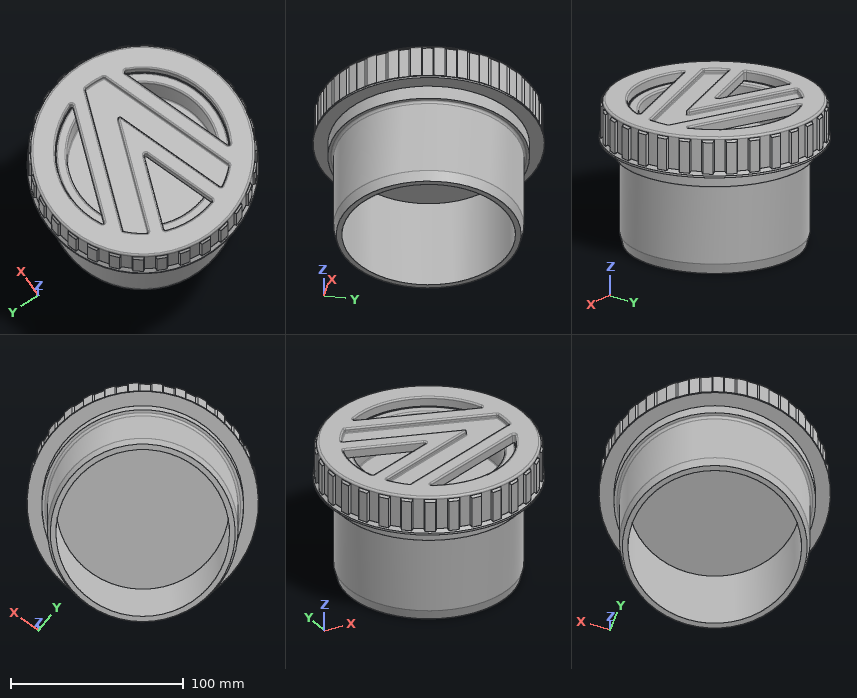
import cadquery as cq
TOTAL_HEIGHT = 88.0
CAP_HEIGHT = 24.1
LID_THICKNESS = 6.0
CAP_BOTTOM = TOTAL_HEIGHT - CAP_HEIGHT
LID_BOTTOM = TOTAL_HEIGHT - LID_THICKNESS

COLLAR_RADIUS = 116.7 / 2
TUBE_RADIUS = 110.3 / 2
TUBE_END_RADIUS = 106.9 / 2
COLLAR_BOTTOM = 55.3
COLLAR_FILLET = 1.5
TUBE_TAPER_HEIGHT = 6.4

CUP_RADIUS = 100.4 / 2
CUP_INNER_RADIUS = 88.0 / 2
CUP_DEPTH = 21.8
CUP_FLOOR_THICKNESS = 2.7
CUP_OUTER_RIM_FILLET = 0.8
CUP_INNER_RIM_FILLET = 1.1
CUP_FLOOR_FILLET = 0.4

CAP_RADIUS = 130.0 / 2
CAP_TOP_FILLET = 1.3
FLANGE_RADIUS = 134.0 / 2
FLANGE_HEIGHT = 1.2
FLARE_HEIGHT = 1.9
RIB_COUNT = 30
RIB_RADIUS = 66.2
RIB_TOP_DROP = 1.6
RIB_ROOT_WIDTH = 7.2
RIB_CREST_WIDTH = 5.9

PATTERN_RADIUS = 101.5 / 2
V_HALF_ANGLE = 19.6
BAND_WIDTH = 9.1
V_ARM_WIDTH = 14.1
V_DEPTH = 3.0
CORNER_RADIUS = 1.1
OPENING_TOP_FILLET = 1.0
V_FLOOR_FILLET = 0.4

V_INNER_OFFSET = BAND_WIDTH
V_OUTER_OFFSET = V_INNER_OFFSET + V_ARM_WIDTH
WINDOW_OFFSET = V_OUTER_OFFSET + BAND_WIDTH


def make_housing():
    outline = (
        cq.Workplane("XZ")
        .moveTo(CUP_RADIUS, 0)
        .lineTo(TUBE_END_RADIUS, 0)
        .lineTo(TUBE_RADIUS, TUBE_TAPER_HEIGHT)
        .lineTo(TUBE_RADIUS, COLLAR_BOTTOM - COLLAR_FILLET)
        .radiusArc((TUBE_RADIUS + COLLAR_FILLET, COLLAR_BOTTOM), COLLAR_FILLET)
        .lineTo(COLLAR_RADIUS, COLLAR_BOTTOM)
        .lineTo(COLLAR_RADIUS, LID_BOTTOM)
        .lineTo(CUP_RADIUS, LID_BOTTOM)
        .close()
    )
    return outline.revolve(360, (0, 0, 0), (0, 1, 0))


def make_cup():
    height = CUP_DEPTH + CUP_FLOOR_THICKNESS
    blank = (
        cq.Workplane("XY", origin=(0, 0, LID_BOTTOM - height))
        .circle(CUP_RADIUS)
        .extrude(height)
        .faces(">Z")
        .edges()
        .fillet(CUP_OUTER_RIM_FILLET)
    )
    dish = (
        cq.Workplane("XY", origin=(0, 0, LID_BOTTOM - CUP_DEPTH))
        .circle(CUP_INNER_RADIUS)
        .extrude(CUP_DEPTH)
        .faces("<Z")
        .edges()
        .fillet(CUP_FLOOR_FILLET)
    )
    rim_edge = cq.selectors.RadiusNthSelector(0)
    return blank.cut(dish).faces(">Z").edges(rim_edge).fillet(CUP_INNER_RIM_FILLET)


def make_cap_shell():
    flange_top = CAP_BOTTOM + FLANGE_HEIGHT
    outline = (
        cq.Workplane("XZ")
        .moveTo(0, LID_BOTTOM)
        .lineTo(COLLAR_RADIUS, LID_BOTTOM)
        .lineTo(COLLAR_RADIUS, CAP_BOTTOM)
        .lineTo(FLANGE_RADIUS, CAP_BOTTOM)
        .lineTo(FLANGE_RADIUS, flange_top)
        .lineTo(CAP_RADIUS, flange_top + FLARE_HEIGHT)
        .lineTo(CAP_RADIUS, TOTAL_HEIGHT)
        .lineTo(0, TOTAL_HEIGHT)
        .close()
    )
    shell = outline.revolve(360, (0, 0, 0), (0, 1, 0))
    return shell.faces(">Z").edges().fillet(CAP_TOP_FILLET)


def make_ribs():
    """Ring with a 45-degree top bevel, kept only where the tapered ribs stand."""
    rib_height = RIB_RADIUS - CAP_RADIUS
    rib_top = TOTAL_HEIGHT - RIB_TOP_DROP
    root_radius = CAP_RADIUS - rib_height
    ring = (
        cq.Workplane("XZ")
        .moveTo(root_radius, CAP_BOTTOM + FLANGE_HEIGHT)
        .lineTo(RIB_RADIUS, CAP_BOTTOM + FLANGE_HEIGHT)
        .lineTo(RIB_RADIUS, rib_top - rib_height)
        .lineTo(CAP_RADIUS, rib_top)
        .lineTo(root_radius, rib_top)
        .close()
        .revolve(360, (0, 0, 0), (0, 1, 0))
    )
    side_step = (RIB_ROOT_WIDTH - RIB_CREST_WIDTH) / 2
    prism = (
        cq.Workplane("XY", origin=(0, 0, CAP_BOTTOM))
        .polyline([
            (root_radius, -RIB_ROOT_WIDTH / 2 - side_step),
            (root_radius, RIB_ROOT_WIDTH / 2 + side_step),
            (RIB_RADIUS + rib_height, RIB_CREST_WIDTH / 2 - side_step),
            (RIB_RADIUS + rib_height, -RIB_CREST_WIDTH / 2 + side_step),
        ])
        .close()
        .extrude(CAP_HEIGHT)
    )
    rib = ring.intersect(prism)
    pitch = 360 / RIB_COUNT
    return [rib.rotate((0, 0, 0), (0, 0, 1), i * pitch) for i in range(RIB_COUNT)]


def sloped_half_plane(offset, side):
    """Region beyond a line sloping towards +X at the V angle; side is +1 (+Y) or -1 (-Y)."""
    size = 4 * PATTERN_RADIUS
    return (
        cq.Workplane("XY", origin=(0, 0, LID_BOTTOM))
        .center(0, side * (size / 2 + offset))
        .rect(size, size)
        .extrude(LID_THICKNESS)
        .rotate((0, 0, 0), (0, 0, 1), -side * V_HALF_ANGLE)
    )


def pattern_disc(bottom):
    return cq.Workplane("XY", origin=(0, 0, bottom)).circle(PATTERN_RADIUS).extrude(TOTAL_HEIGHT - bottom)


def make_windows():
    disc = pattern_disc(LID_BOTTOM)
    side_windows = [disc.intersect(sloped_half_plane(WINDOW_OFFSET, side)) for side in (1, -1)]
    wedge_window = disc.cut(sloped_half_plane(0, 1)).cut(sloped_half_plane(0, -1))
    return [window.edges("|Z").fillet(CORNER_RADIUS) for window in (*side_windows, wedge_window)]


def make_v_recess():
    recess = pattern_disc(TOTAL_HEIGHT - V_DEPTH)
    island = recess
    for side in (1, -1):
        recess = recess.cut(sloped_half_plane(V_OUTER_OFFSET, side))
        island = island.cut(sloped_half_plane(V_INNER_OFFSET, side))
    recess = recess.cut(island).edges("|Z").fillet(CORNER_RADIUS)
    return recess.faces("<Z").edges().fillet(V_FLOOR_FILLET)


def make_cap():
    cap = make_cap_shell()
    for opening in (*make_windows(), make_v_recess()):
        cap = cap.cut(opening)
    reach = PATTERN_RADIUS + 1.3
    opening_edges = cq.selectors.BoxSelector(
        (-reach, -reach, TOTAL_HEIGHT - 0.1),
        (reach, reach, TOTAL_HEIGHT + 0.1),
    )
    lid_rim = cq.selectors.RadiusNthSelector(-1)
    cap = cap.faces(">Z").edges(opening_edges - lid_rim).fillet(OPENING_TOP_FILLET)
    for rib in make_ribs():
        cap = cap.union(rib)
    return cap


housing = make_housing()
cup = make_cup()
cap = make_cap()
result = cq.Compound.makeCompound([housing.val(), cup.val(), cap.val()])